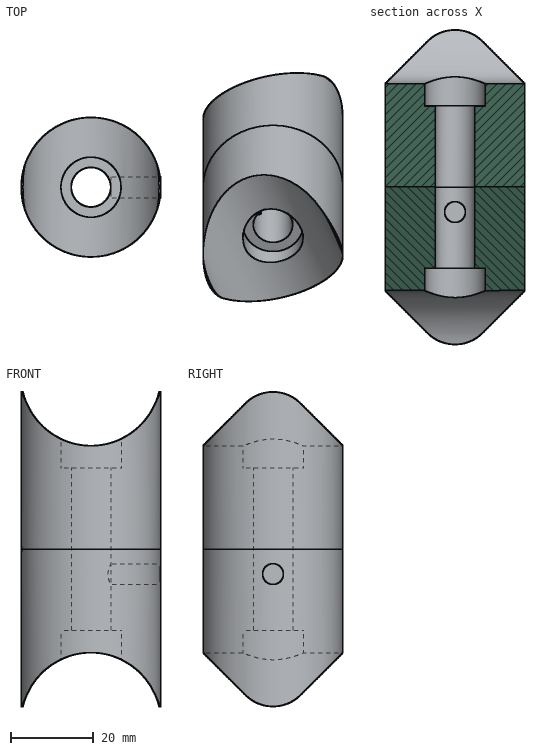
import cadquery as cq
import math

total_length = 75.95
body_diameter = 33.7
tip_radius = 9.35
bore_diameter = 9.5
counterbore_diameter = 14.5
counterbore_floor = 19.6
side_hole_diameter = 5.0
side_hole_drop = 6.0

body_radius = body_diameter / 2
bore_radius = bore_diameter / 2
saddle_radius = body_radius
half_length = total_length / 2
tip_arc_centre = half_length - tip_radius
saddle_axis_height = tip_arc_centre + tip_radius * math.sqrt(2)
tip_tangent = tip_radius / math.sqrt(2)


def saddle_cutter():
    """Crossing bar along Y that hollows out the end of a half."""
    return (
        cq.Workplane("XZ")
        .center(0, saddle_axis_height)
        .circle(saddle_radius)
        .extrude(body_diameter, both=True)
    )


def tip_cutter():
    """Prism along X that leaves the saddle tips rounded."""
    tangent_height = tip_arc_centre + tip_tangent
    return (
        cq.Workplane("YZ")
        .moveTo(-tip_tangent, tangent_height)
        .threePointArc((0, half_length), (tip_tangent, tangent_height))
        .lineTo(tip_tangent, saddle_axis_height)
        .lineTo(-tip_tangent, saddle_axis_height)
        .close()
        .extrude(body_diameter, both=True)
    )


def connector_half():
    """Upper half: a bored cylinder on the joint face at Z = 0 with a saddle on top."""
    half = cq.Workplane("XY").circle(body_radius).extrude(saddle_axis_height)
    half = half.cut(saddle_cutter()).cut(tip_cutter())
    bore = cq.Workplane("XY").circle(bore_radius).extrude(half_length)
    counterbore = (
        cq.Workplane("XY")
        .workplane(offset=counterbore_floor)
        .circle(counterbore_diameter / 2)
        .extrude(half_length - counterbore_floor)
    )
    return half.cut(bore).cut(counterbore)


def side_cylinder(start, end):
    """Cylinder on the side hole axis, between two distances from the Z axis on the +X side."""
    return (
        cq.Workplane("YZ")
        .workplane(offset=start)
        .center(0, -side_hole_drop)
        .circle(side_hole_diameter / 2)
        .extrude(end - start)
    )


upper_half = connector_half()

side_hole = side_cylinder(0, body_diameter)
lower_half = connector_half().mirror("XY").cut(side_hole)

set_screw = side_cylinder(bore_radius, body_radius)

result = cq.Compound.makeCompound([upper_half.val(), lower_half.val(), set_screw.val()])